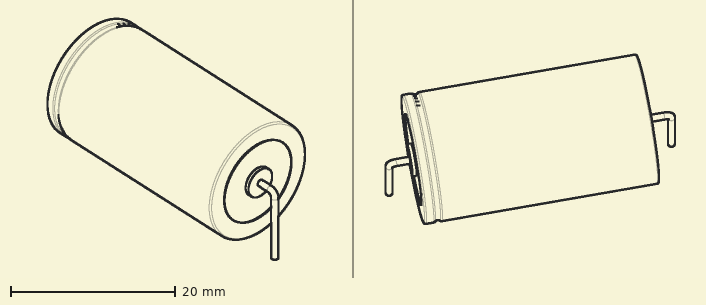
import cadquery as cq

overall_length = 35.9
overall_height = 18.02

can_diameter = 16.0
can_length = 29.08
can_radius = can_diameter / 2
can_end = can_length / 2
rim_fillet = 0.2

groove_center = -can_end + 1.65
groove_radius = 0.45
groove_depth = 0.2
groove_lip_fillet = 0.32

recess_diameter = 11.25
recess_depth = 0.1

collar_diameter = 4.0
collar_height = 0.4

lead_diameter = 0.9
lead_bend_radius = 0.9
lead_axis_x = (overall_length - lead_diameter) / 2
lead_bottom = can_radius - overall_height


def x_cylinder(diameter, start, end):
    """Cylinder on the X axis between two X positions."""
    return cq.Workplane("YZ", origin=(start, 0, 0)).circle(diameter / 2).extrude(end - start)


def make_can():
    """Can with a crimp groove, rounded rims and a recess in each end face."""
    can = x_cylinder(can_diameter, -can_end, can_end).edges().fillet(rim_fillet)

    groove_ring_radius = can_radius - groove_depth + groove_radius
    groove = cq.Workplane("XY").add(
        cq.Solid.makeTorus(
            groove_ring_radius, groove_radius, cq.Vector(groove_center, 0, 0), cq.Vector(1, 0, 0)
        )
    )
    can = can.cut(groove)

    lips = cq.selectors.BoxSelector(
        (groove_center - groove_radius, -can_diameter, -can_diameter),
        (groove_center + groove_radius, can_diameter, can_diameter),
    )
    lip_edges = can.edges("%CIRCLE").edges(lips).edges(cq.selectors.RadiusNthSelector(-1))
    can = lip_edges.fillet(groove_lip_fillet)

    for side in (-1, 1):
        recess_floor = side * (can_end - recess_depth)
        can = can.cut(x_cylinder(recess_diameter, recess_floor, side * can_end))
    return can


def make_terminal(side):
    """Collar and bent lead at one end; side is -1 or +1 along X."""
    recess_floor = side * (can_end - recess_depth)
    collar = x_cylinder(collar_diameter, recess_floor, side * (can_end + collar_height))

    bend_start = lead_axis_x - lead_bend_radius
    path = (
        cq.Workplane("XZ")
        .moveTo(recess_floor, 0)
        .lineTo(side * bend_start, 0)
        .tangentArcPoint((side * lead_axis_x, -lead_bend_radius), relative=False)
        .lineTo(side * lead_axis_x, lead_bottom)
    )
    lead = cq.Workplane("YZ", origin=(recess_floor, 0, 0)).circle(lead_diameter / 2).sweep(path)
    return collar.union(lead)


result = make_can().union(make_terminal(-1)).union(make_terminal(1))